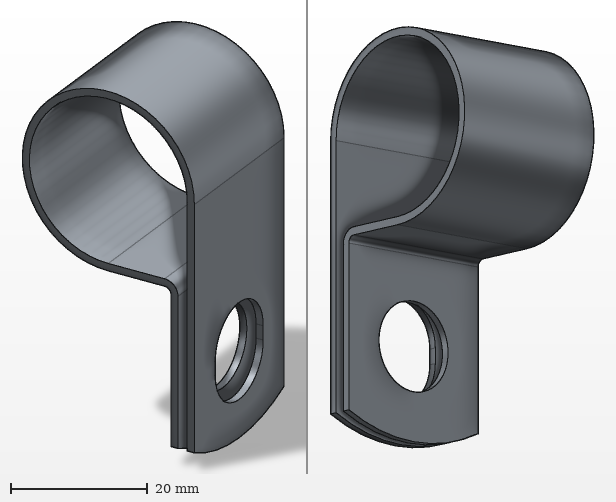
import cadquery as cq
import math

total_height = 58.35
width = 25.4
outer_radius = 14.7
thickness = 1.2
leg_gap = 1.6
bend_outer_radius = 2.3
hole_diameter = 13.55
slot_length = 15.85
hole_z = -29.4
end_rise = 3.0

inner_radius = outer_radius - thickness
bend_inner_radius = bend_outer_radius - thickness
bottom_z = outer_radius - total_height
short_leg_outer = inner_radius - leg_gap
short_leg_inner = short_leg_outer - thickness
bend_x = short_leg_outer - bend_outer_radius
bend_z = -inner_radius - bend_outer_radius
diagonal = math.sqrt(0.5)


def strap():
    """Bent strip: long leg, three-quarter loop, flat shelf, bend and short leg."""
    return (
        cq.Workplane("XZ")
        .moveTo(outer_radius, bottom_z)
        .lineTo(outer_radius, 0)
        .threePointArc((-outer_radius * diagonal, outer_radius * diagonal), (0, -outer_radius))
        .lineTo(bend_x, -outer_radius)
        .threePointArc(
            (bend_x + bend_inner_radius * diagonal, bend_z + bend_inner_radius * diagonal),
            (short_leg_inner, bend_z),
        )
        .lineTo(short_leg_inner, bottom_z)
        .lineTo(short_leg_outer, bottom_z)
        .lineTo(short_leg_outer, bend_z)
        .threePointArc(
            (bend_x + bend_outer_radius * diagonal, bend_z + bend_outer_radius * diagonal),
            (bend_x, -inner_radius),
        )
        .lineTo(0, -inner_radius)
        .threePointArc((-inner_radius * diagonal, inner_radius * diagonal), (inner_radius, 0))
        .lineTo(inner_radius, bottom_z)
        .close()
        .extrude(width / 2, both=True)
    )


def side_envelope():
    """Side outline of the strap with its arched lower end."""
    return (
        cq.Workplane("YZ")
        .moveTo(-width / 2, outer_radius)
        .lineTo(-width / 2, bottom_z + end_rise)
        .threePointArc((0, bottom_z), (width / 2, bottom_z + end_rise))
        .lineTo(width / 2, outer_radius)
        .close()
        .extrude(outer_radius, both=True)
    )


def short_leg_hole():
    """Round bolt hole through the short leg."""
    return (
        cq.Workplane("YZ", origin=(short_leg_inner, 0, hole_z))
        .circle(hole_diameter / 2)
        .extrude(thickness)
    )


def long_leg_slot():
    """Upright slot through the long leg, as wide as the hole and centred on it."""
    return (
        cq.Workplane("YZ", origin=(inner_radius, 0, hole_z))
        .slot2D(slot_length, hole_diameter, angle=90)
        .extrude(thickness)
    )


result = (
    strap()
    .intersect(side_envelope())
    .cut(short_leg_hole())
    .cut(long_leg_slot())
)